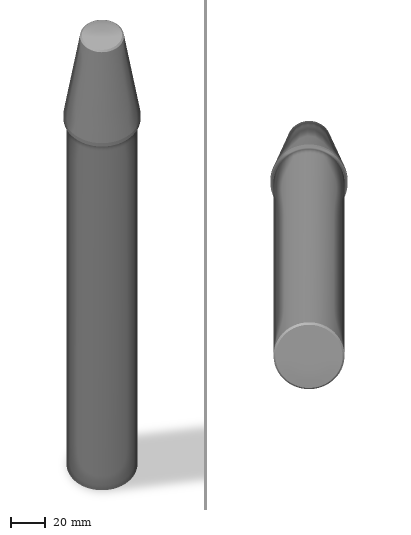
import cadquery as cq

total_height = 368.5
body_diameter = 41.0
collar_diameter = 44.5
tip_diameter = 25.0

cone_height = 68.0
collar_height = 3.0

bottom_chamfer = 1.0
tip_chamfer = 0.92

body_height = total_height - cone_height - collar_height
collar_top = body_height + collar_height

half_profile = (
    cq.Workplane("XZ")
    .lineTo(body_diameter / 2, 0)
    .lineTo(body_diameter / 2, body_height)
    .lineTo(collar_diameter / 2, body_height)
    .lineTo(collar_diameter / 2, collar_top)
    .lineTo(tip_diameter / 2, total_height)
    .lineTo(0, total_height)
    .close()
)

turned = half_profile.revolve(360, (0, 0, 0), (0, 1, 0))
result = (
    turned
    .faces("<Z").chamfer(bottom_chamfer)
    .faces(">Z").chamfer(tip_chamfer)
)